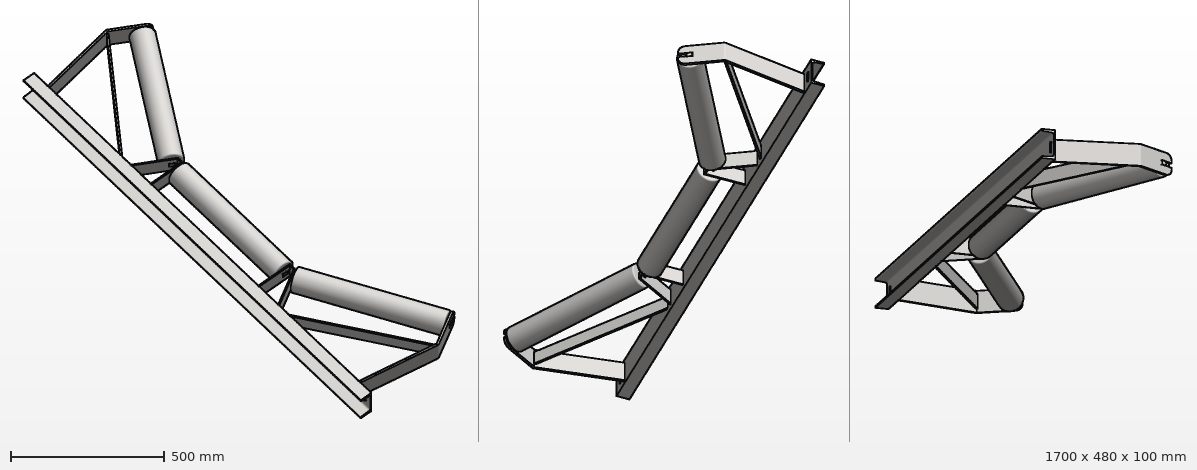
import cadquery as cq
import math


beam_length = 1700.0
beam_height = 100.0
flange_reach = 46.0
web_thickness = 5.0
flange_root_thickness = 10.0
flange_tip_thickness = 7.0
flange_root_radius = 7.0
flange_tip_radius = 3.0
mount_slot_length = 37.0
mount_slot_width = 15.0
mount_slot_inset = 30.0

trough_angle = 30.0
roller_diameter = 88.0
roller_length = 527.0
roller_edge = 5.0
shaft_diameter = 20.0
shaft_flat_width = 15.0
end_gap = 5.0
centre_roller_y = 120.0
wing_roller_x = 539.0
wing_roller_y = 262.0

inner_width = 60.0
inner_thickness = 5.0
inner_top_y = 145.0
outer_width = 75.0
outer_thickness = 8.0
outer_knee_y = 300.0
outer_tab_end_y = 434.0
outer_leg_angle = 9.5
outer_bend_radius = 10.0
tab_corner_radius = 25.0
shaft_slot_depth = 68.0
strut_width = 50.0
strut_thickness = 7.0
strut_foot_x = 408.0

sin_t = math.sin(math.radians(trough_angle))
cos_t = math.cos(math.radians(trough_angle))
tan_t = math.tan(math.radians(trough_angle))
tan_leg = math.tan(math.radians(outer_leg_angle))
bracket_reach = roller_length / 2 + end_gap


def prism(points, width):
    """XY outline extruded to a width centred on Z = 0."""
    return cq.Workplane("XY", origin=(0, 0, -width / 2)).polyline(points).close().extrude(width)


def on_wing(body):
    """Moves a body from the origin, lying along X, to the right-hand wing roller axis."""
    return body.rotate((0, 0, 0), (0, 0, 1), trough_angle).translate((wing_roller_x, wing_roller_y, 0))


def on_centre(body):
    """Moves a body from the origin to the centre roller axis."""
    return body.translate((0, centre_roller_y, 0))


def mirrored(body):
    """Copy of a body on the other side of X = 0."""
    return body.mirror("YZ")


def make_beam():
    """Channel with tapered flanges facing -Y and an upright mounting slot near each end."""
    half = beam_height / 2
    section = [
        (0, half), (-flange_reach, half), (-flange_reach, half - flange_tip_thickness),
        (-web_thickness, half - flange_root_thickness),
        (-web_thickness, flange_root_thickness - half),
        (-flange_reach, flange_tip_thickness - half), (-flange_reach, -half), (0, -half),
    ]
    beam = cq.Workplane("YZ", origin=(-beam_length / 2, 0, 0)).polyline(section).close().extrude(beam_length)
    for z in (-1, 1):
        root = (0, -web_thickness, z * (half - flange_root_thickness))
        tip = (0, -flange_reach, z * (half - flange_tip_thickness))
        beam = beam.edges(cq.selectors.NearestToPointSelector(root)).fillet(flange_root_radius)
        beam = beam.edges(cq.selectors.NearestToPointSelector(tip)).fillet(flange_tip_radius)
    slot_x = beam_length / 2 - mount_slot_inset
    slots = (
        cq.Workplane("XZ").pushPoints([(-slot_x, 0), (slot_x, 0)])
        .slot2D(mount_slot_length, mount_slot_width, 90).extrude(web_thickness)
    )
    return beam.cut(slots)


def make_roller(left_shaft, right_shaft):
    """Roller along X at the origin; its flatted shaft ends stick out by the given lengths."""
    shell = (
        cq.Workplane("YZ", origin=(-roller_length / 2, 0, 0))
        .circle(roller_diameter / 2).extrude(roller_length)
        .edges().fillet(roller_edge)
    )
    shaft_length = roller_length + left_shaft + right_shaft
    shaft = (
        cq.Workplane("YZ", origin=(-roller_length / 2 - left_shaft, 0, 0))
        .circle(shaft_diameter / 2).extrude(shaft_length)
        .intersect(cq.Workplane("XY").box(2 * shaft_length, shaft_diameter, shaft_flat_width))
    )
    return shell.union(shaft)


def shaft_slot(length):
    """Open slot for a shaft end: as wide as the flats, running from the shaft bottom in +Y."""
    return (
        cq.Workplane("XY").box(length, shaft_slot_depth, shaft_flat_width)
        .translate((0, shaft_slot_depth / 2 - shaft_diameter / 2, 0))
    )


def make_inner_bracket():
    """Folded strip: upright leg by the centre roller, top, and sloping leg by the wing roller."""
    t = inner_thickness
    upright_x = bracket_reach
    wing_face_x = wing_roller_x - bracket_reach * cos_t
    wing_face_y = wing_roller_y - bracket_reach * sin_t
    outer_foot = wing_face_x + wing_face_y * tan_t
    inner_foot = outer_foot - t / cos_t
    under_y = inner_top_y - t
    body = prism([
        (upright_x, 0), (upright_x, inner_top_y),
        (outer_foot - inner_top_y * tan_t, inner_top_y), (outer_foot, 0),
        (inner_foot, 0), (inner_foot - under_y * tan_t, under_y),
        (upright_x + t, under_y), (upright_x + t, 0),
    ], inner_width)
    centre_slot = on_centre(shaft_slot(t).translate((upright_x + t / 2, 0, 0)))
    wing_slot = on_wing(shaft_slot(t).translate((-bracket_reach - t / 2, 0, 0)))
    return body.cut(centre_slot).cut(wing_slot)


def outer_knee(depth):
    """Corner of the outer bracket's bend, at a depth below its outer faces."""
    knee_x = (
        wing_roller_x + (bracket_reach + outer_thickness) / cos_t
        - (outer_knee_y - wing_roller_y) * tan_t
    )
    half_bend = math.radians(trough_angle + outer_leg_angle) / 2
    bisector = math.radians(trough_angle) - half_bend
    offset = depth / math.cos(half_bend)
    return knee_x - offset * math.cos(bisector), outer_knee_y - offset * math.sin(bisector)


def make_outer_bracket():
    """Bent strip: leaning leg on the beam and a rounded tab square to the wing roller."""
    t = outer_thickness
    knee_x, knee_y = outer_knee(0)
    inner_knee = outer_knee(t)
    tip_x = knee_x - (outer_tab_end_y - knee_y) * tan_t
    foot_x = knee_x - knee_y * tan_leg
    body = prism([
        (foot_x, 0), (knee_x, knee_y), (tip_x, outer_tab_end_y),
        (tip_x - t * cos_t, outer_tab_end_y - t * sin_t), inner_knee,
        (inner_knee[0] - inner_knee[1] * tan_leg, 0),
    ], outer_width)
    tab_normal = cq.Vector(cos_t, sin_t, 0)
    body = body.edges(cq.selectors.ParallelDirSelector(tab_normal)).fillet(tab_corner_radius)
    body = body.edges(cq.selectors.NearestToPointSelector((knee_x, knee_y, 0))).fillet(outer_bend_radius)
    return body.cut(on_wing(shaft_slot(t).translate((bracket_reach + t / 2, 0, 0))))


def make_strut():
    """Flat brace from the web into the inner corner of the outer bracket's bend, notched to fit it."""
    corner_x, corner_y = outer_knee(outer_thickness)
    slope = math.atan2(corner_y, corner_x - strut_foot_x)
    tab_angle = math.radians(trough_angle)
    leg_angle = math.radians(outer_leg_angle)
    half = strut_thickness / 2
    on_tab = half / math.cos(slope - tab_angle)
    on_leg = half / math.cos(slope + leg_angle)
    on_web = half / math.sin(slope)
    return prism([
        (strut_foot_x - on_web, 0),
        (corner_x - on_tab * sin_t, corner_y + on_tab * cos_t),
        (corner_x, corner_y),
        (corner_x - on_leg * math.sin(leg_angle), corner_y - on_leg * math.cos(leg_angle)),
        (strut_foot_x + on_web, 0),
    ], strut_width)


beam = make_beam()

inner_shaft = end_gap + inner_thickness
outer_shaft = end_gap + outer_thickness
centre_roller = on_centre(make_roller(inner_shaft, inner_shaft))
wing_roller = on_wing(make_roller(inner_shaft, outer_shaft))

right_side = [wing_roller, make_inner_bracket(), make_outer_bracket(), make_strut()]
bodies = [beam, centre_roller]
for body in right_side:
    bodies += [body, mirrored(body)]

result = cq.Compound.makeCompound([body.val() for body in bodies])